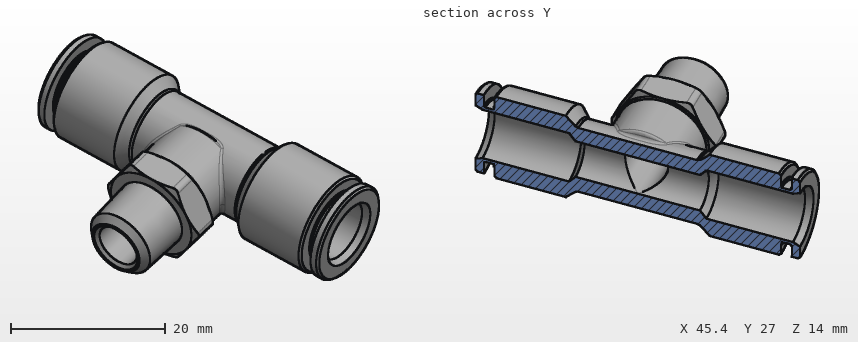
import cadquery as cq
import math

overall_length = 45.4
half_length = overall_length / 2
tube_radius = 5.5
socket_radius = 7.0
socket_inner_end = 10.05
socket_face = 20.05
socket_edge_chamfer = 0.3
socket_root_radius = 5.62
socket_root = socket_inner_end - (socket_radius - socket_root_radius)
socket_root_end = 8.3

insert_radius = 5.1
insert_face = 20.15
neck_radius = 4.7
neck_flare = 0.2
collar_radius = 6.75
collar_width = 1.2
collar_chamfer = 0.3
collar_back = half_length - collar_width

bore_radius = 3.0
tube_seat_radius = 4.1
tube_seat_depth = 14.0
seat_cone_length = 0.9
seat_entry_radius = 4.55
seat_entry_depth = 1.0
port_entry_radius = 3.5
port_entry_depth = 0.5

branch_radius = 6.25
branch_start = 1.25
branch_end = 8.4
branch_edge = 0.2
branch_top_fillet = 0.5
root_fillet = 0.5
hex_sides = 6
hex_half_angle = 180 / hex_sides
hex_across_flats = 13.0
hex_length = 4.0
hex_corner_fillet = 1.0
hex_end = branch_end + hex_length
hex_chamfer_angle = 30
thread_end = 20.0
thread_base_radius = 4.99
thread_tip_chamfer = 1.0
thread_taper = 1 / 16
thread_chamfer_start = thread_end - thread_tip_chamfer
thread_small_radius = thread_base_radius - (thread_chamfer_start - hex_end) * thread_taper / 2
thread_tip_radius = 3.82


def turned_about_x(outline):
    """Revolve (x, radius) points about the X axis."""
    profile = cq.Workplane("XY").polyline(outline).close()
    return profile.revolve(360, (0, 0, 0), (1, 0, 0))


def turned_about_branch(outline):
    """Revolve (radius, distance from the run axis toward -Y) points about the branch axis."""
    points = [(radius, -distance) for radius, distance in outline]
    profile = cq.Workplane("XY").polyline(points).close()
    return profile.revolve(360, (0, 0, 0), (0, 1, 0))


def make_core():
    """Tube and branch barrel with a rounded junction."""
    tube = cq.Workplane("YZ").circle(tube_radius).extrude(socket_root_end, both=True)
    barrel = turned_about_branch([
        (0, branch_start),
        (branch_radius, branch_start),
        (branch_radius, branch_end - branch_edge),
        (branch_radius - branch_edge, branch_end),
        (0, branch_end),
    ])
    barrel = barrel.faces(">Y").edges().fillet(branch_top_fillet)
    core = tube.union(barrel)
    return core.edges("%BSPLINE").fillet(root_fillet)


def make_socket():
    """Socket on the +X end, with its neck and release collar."""
    return turned_about_x([
        (socket_root_end, 0),
        (socket_root_end, tube_radius),
        (socket_root, socket_root_radius),
        (socket_inner_end, socket_radius),
        (socket_face - socket_edge_chamfer, socket_radius),
        (socket_face, socket_radius - socket_edge_chamfer),
        (socket_face, insert_radius),
        (insert_face, insert_radius),
        (insert_face, neck_radius),
        (collar_back - neck_flare, neck_radius),
        (collar_back, neck_radius + neck_flare),
        (collar_back, collar_radius),
        (half_length - collar_chamfer, collar_radius),
        (half_length, collar_radius - collar_chamfer),
        (half_length, 0),
    ])


def make_hexagon():
    """Hexagon with rounded corners, its two ends turned down to the across-flats circle."""
    flat_radius = hex_across_flats / 2
    corner_radius = flat_radius / math.cos(math.radians(hex_half_angle))
    chamfer_length = (corner_radius - flat_radius) * math.tan(math.radians(hex_chamfer_angle))
    prism = (
        cq.Workplane("XZ", origin=(0, -branch_end, 0))
        .polygon(hex_sides, 2 * corner_radius)
        .extrude(hex_length)
        .edges("|Y")
        .fillet(hex_corner_fillet)
    )
    envelope = turned_about_branch([
        (0, branch_end),
        (flat_radius, branch_end),
        (corner_radius, branch_end + chamfer_length),
        (corner_radius, hex_end - chamfer_length),
        (flat_radius, hex_end),
        (0, hex_end),
    ])
    return prism.intersect(envelope)


def make_thread_blank():
    """Tapered spigot with a chamfered tip."""
    return turned_about_branch([
        (0, hex_end),
        (thread_base_radius, hex_end),
        (thread_small_radius, thread_chamfer_start),
        (thread_tip_radius, thread_end),
        (0, thread_end),
    ])


def make_run_bore():
    """Tube seat from the +X end, narrowing to the flow bore at the centre."""
    seat_bottom = half_length - tube_seat_depth
    return turned_about_x([
        (0, 0),
        (0, bore_radius),
        (seat_bottom, bore_radius),
        (seat_bottom + seat_cone_length, tube_seat_radius),
        (half_length - seat_entry_depth, tube_seat_radius),
        (half_length, seat_entry_radius),
        (half_length, 0),
    ])


def make_branch_bore():
    """Flow bore from the run axis to the thread tip, with a chamfered mouth."""
    return turned_about_branch([
        (0, 0),
        (bore_radius, 0),
        (bore_radius, thread_end - port_entry_depth),
        (port_entry_radius, thread_end),
        (0, thread_end),
    ])


socket = make_socket()
run_bore = make_run_bore()
result = (
    make_core()
    .union(make_hexagon())
    .union(make_thread_blank())
    .union(socket)
    .union(socket.mirror("YZ"))
    .cut(run_bore)
    .cut(run_bore.mirror("YZ"))
    .cut(make_branch_bore())
)